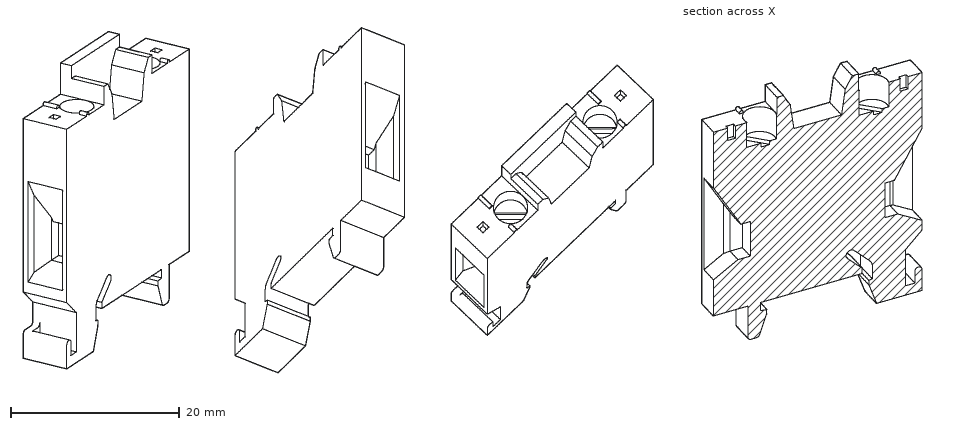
import cadquery as cq
import math

width = 6.1
length = 28.0
height = 35.2
half_length = length / 2

base_z = 4.85
shoulder_z = 31.15
channel_rim_z = 33.55
tower_half_length = 5.5

relief_top_z = 8.62
relief_bottom_z = 6.5
neck_front_y = -11.8
neck_rear_y = -7.3
foot_top_z = 3.55
foot_round = 0.5

catch_tip_y = 6.83
catch_ledge_z = 3.75
catch_ledge_drop = 0.1
catch_taper_z = 3.03
catch_toe_y = 7.9

slot_radius = 0.6
slot_end_y = -4.45
slot_end_z = 8.05
slot_mouth_y = -6.0
slot_bend_round = 1.1

hook_outer_y = 9.4
hook_inner_y = 7.65
hook_tip_round = 0.5

groove_web = 1.0
groove_floor_z = 1.4
lip_center_y = -half_length + foot_round
lip_center_z = foot_top_z - foot_round

channel_wall = 1.55
channel_rim_half = 4.6
channel_throat_half = 3.65
channel_floor_half = 3.17
channel_bevel_angle = 60.0
channel_wall_angle = 82.0

screw_x = 3.55
screw_y = 7.55
screw_hole_diameter = 4.05
screw_head_depth = 3.52
driver_slot_width = 0.77
driver_slot_depth = 0.53
probe_x = 2.95
probe_y = 11.58
probe_side = 1.0
probe_depth = 1.75
ridge_y = 9.2
ridge_width = 0.5
ridge_height = 0.4
ridge_spans = ((0.0, 1.9), (5.07, width))

funnel_depth = 4.93
funnel_roof_end = 3.7
funnel_taper_end = 3.27
funnel_left_x = 0.7
funnel_left_throat_x = 1.95
funnel_left_taper_start = 1.3
funnel_right_x = 5.5
funnel_right_throat_x = 5.07
funnel_right_taper_start = 2.6
funnel_bottom_z = 10.05
funnel_sill_z = 11.97
funnel_lintel_z = 16.83
funnel_top_z = 23.13


def side_profile():
    """Sketch plane whose axes are Y and Z, extruding toward +X."""
    return cq.Workplane("YZ")


def mirrored_pair(front_solid):
    """The solid together with its mirror image about the XZ plane."""
    return front_solid.union(front_solid.mirror("XZ"))


def edge_at(y, z):
    """Selector for the edge along X at the given Y and Z."""
    return cq.selectors.NearestToPointSelector((width / 2, y, z))


def make_housing():
    """Main block, tower and rail foot in one outline, still without the crest of the lip."""
    slot_rise = slot_radius * math.sqrt(2)
    slot_step = slot_radius / math.sqrt(2)
    mouth_z = slot_end_z + (slot_mouth_y - slot_end_y) - slot_rise
    bend_z = slot_end_z + (neck_rear_y - slot_end_y) + slot_rise
    housing = (
        side_profile()
        .moveTo(half_length, base_z)
        .lineTo(half_length, shoulder_z)
        .lineTo(tower_half_length, shoulder_z)
        .lineTo(tower_half_length, height)
        .lineTo(-tower_half_length, height)
        .lineTo(-tower_half_length, shoulder_z)
        .lineTo(-half_length, shoulder_z)
        .lineTo(-half_length, relief_top_z)
        .lineTo(neck_front_y, relief_bottom_z)
        .lineTo(neck_front_y, foot_top_z)
        .lineTo(lip_center_y, foot_top_z)
        .lineTo(lip_center_y, lip_center_z)
        .lineTo(-half_length, lip_center_z)
        .lineTo(-half_length, 0)
        .lineTo(-catch_toe_y, 0)
        .lineTo(-catch_tip_y, catch_taper_z)
        .lineTo(-catch_tip_y, catch_ledge_z - catch_ledge_drop)
        .lineTo(neck_rear_y, catch_ledge_z)
        .lineTo(neck_rear_y, bend_z)
        .lineTo(slot_end_y - slot_step, slot_end_z + slot_step)
        .threePointArc(
            (slot_end_y + slot_step, slot_end_z + slot_step),
            (slot_end_y + slot_step, slot_end_z - slot_step),
        )
        .lineTo(slot_mouth_y, mouth_z)
        .lineTo(slot_mouth_y, base_z)
        .close()
        .extrude(width)
    )
    rounds = (
        (neck_front_y, foot_top_z, foot_round),
        (neck_rear_y, bend_z, slot_bend_round),
    )
    for y, z, radius in rounds:
        housing = housing.edges(edge_at(y, z)).fillet(radius)
    return housing


def make_rear_hook():
    """Hook hanging below the rear end, with rounded lower corners."""
    hook = (
        side_profile()
        .moveTo(hook_outer_y, base_z)
        .lineTo(hook_outer_y, 0)
        .lineTo(catch_toe_y, 0)
        .lineTo(catch_tip_y, catch_taper_z)
        .lineTo(catch_tip_y, catch_ledge_z - catch_ledge_drop)
        .lineTo(hook_inner_y, catch_ledge_z)
        .lineTo(hook_inner_y, base_z)
        .close()
        .extrude(width)
    )
    for y in (hook_outer_y, catch_toe_y):
        hook = hook.edges(edge_at(y, 0)).fillet(hook_tip_round)
    return hook


def make_lip_bar():
    """Round bar that forms the crest of the lip across the full width."""
    bar = cq.Workplane("YZ", origin=(0, lip_center_y, lip_center_z))
    return bar.circle(foot_round).extrude(width)


def make_foot_groove():
    """Groove between the neck and the lip crest, open toward +X."""
    clearance_z = foot_top_z + foot_round
    lip_rear_y = lip_center_y + foot_round
    groove = (
        side_profile()
        .polyline([
            (neck_front_y, groove_floor_z),
            (lip_rear_y, groove_floor_z),
            (lip_rear_y, lip_center_z),
            (lip_center_y, lip_center_z),
            (lip_center_y, clearance_z),
            (neck_front_y, clearance_z),
        ])
        .close()
        .extrude(width - groove_web)
    )
    return groove.translate((groove_web, 0, 0))


def make_tower_channel():
    """Channel through the tower: bevelled mouth, steep walls and a flat floor."""
    bevel_run = channel_rim_half - channel_throat_half
    throat_z = channel_rim_z - bevel_run * math.tan(math.radians(channel_bevel_angle))
    wall_run = channel_throat_half - channel_floor_half
    floor_z = throat_z - wall_run * math.tan(math.radians(channel_wall_angle))
    half_profile = [
        (tower_half_length, height),
        (tower_half_length, channel_rim_z),
        (channel_rim_half, channel_rim_z),
        (channel_throat_half, throat_z),
        (channel_floor_half, floor_z),
    ]
    other_half = [(-y, z) for y, z in reversed(half_profile)]
    channel = side_profile().polyline(half_profile + other_half).close()
    return channel.extrude(width - channel_wall).translate((channel_wall, 0, 0))


def make_wire_funnel():
    """Front funnel: a side outline crossed with a plan outline."""
    face_y = -half_length
    back_y = face_y + funnel_depth
    throat_y = face_y + funnel_taper_end
    side = (
        side_profile()
        .polyline([
            (face_y, funnel_bottom_z),
            (throat_y, funnel_sill_z),
            (back_y, funnel_sill_z),
            (back_y, funnel_lintel_z),
            (face_y + funnel_roof_end, funnel_lintel_z),
            (face_y, funnel_top_z),
        ])
        .close()
        .extrude(width)
    )
    plan = (
        cq.Workplane("XY")
        .polyline([
            (funnel_left_x, face_y),
            (funnel_left_x, face_y + funnel_left_taper_start),
            (funnel_left_throat_x, throat_y),
            (funnel_left_throat_x, back_y),
            (funnel_right_throat_x, back_y),
            (funnel_right_throat_x, throat_y),
            (funnel_right_x, face_y + funnel_right_taper_start),
            (funnel_right_x, face_y),
        ])
        .close()
        .extrude(height)
    )
    return side.intersect(plan)


def make_screw_hole(y):
    """Round well down to a screw head, with a diagonal driver slot in the head."""
    head_z = shoulder_z - screw_head_depth
    slot_floor_z = head_z - driver_slot_depth
    well = (
        cq.Workplane("XY", origin=(screw_x, y, head_z))
        .circle(screw_hole_diameter / 2)
        .extrude(screw_head_depth)
    )
    head = (
        cq.Workplane("XY", origin=(screw_x, y, slot_floor_z))
        .circle(screw_hole_diameter / 2)
        .extrude(driver_slot_depth)
    )
    bar = (
        cq.Workplane("XY", origin=(screw_x, y, slot_floor_z))
        .transformed(rotate=(0, 0, 45))
        .rect(screw_hole_diameter * 2, driver_slot_width)
        .extrude(driver_slot_depth)
    )
    return well.union(bar.intersect(head))


def make_probe_hole():
    """Square probe hole in the front shoulder."""
    return (
        cq.Workplane("XY", origin=(probe_x, -probe_y, shoulder_z - probe_depth))
        .rect(probe_side, probe_side)
        .extrude(probe_depth)
    )


def make_ridge(x_start, x_end):
    """Round-topped ridge along X on the front shoulder."""
    radius = ridge_width / 2
    straight_z = shoulder_z + ridge_height - radius
    ridge = (
        side_profile()
        .moveTo(-ridge_y - radius, shoulder_z)
        .lineTo(-ridge_y - radius, straight_z)
        .threePointArc((-ridge_y, straight_z + radius), (-ridge_y + radius, straight_z))
        .lineTo(-ridge_y + radius, shoulder_z)
        .close()
        .extrude(x_end - x_start)
    )
    return ridge.translate((x_start, 0, 0))


result = make_housing().union(make_rear_hook())
for x_start, x_end in ridge_spans:
    result = result.union(mirrored_pair(make_ridge(x_start, x_end)))

result = result.cut(make_foot_groove()).union(make_lip_bar())
result = result.cut(make_tower_channel())
result = result.cut(mirrored_pair(make_wire_funnel()))
result = result.cut(mirrored_pair(make_probe_hole()))
for y in (-screw_y, screw_y):
    result = result.cut(make_screw_hole(y))